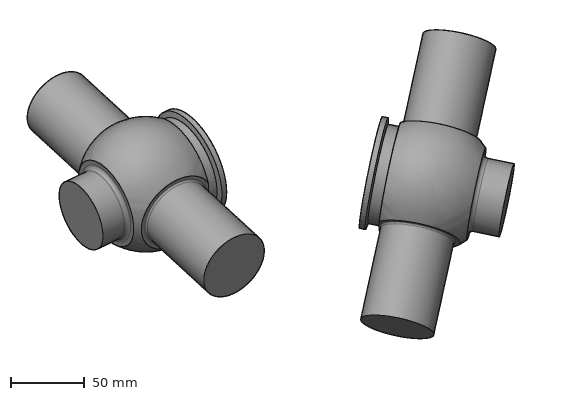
import cadquery as cq
import math

ball_diameter = 92.0
side_flat = 35.5
front_flat = 33.2
back_flat = 26.7

pipe_diameter = 50.7
side_reach = 101.9
side_fillet = 1.2
front_reach = 54.2
front_fillet = 3.0

collar_diameter = 68.9
flange_diameter = 77.5
flange_face = 39.7
flange_rim = 4.0
flange_taper = 1.0


def make_body():
    ball = cq.Workplane("XY").sphere(ball_diameter / 2)
    trim = cq.Workplane("XY").box(
        2 * side_flat, front_flat + back_flat, 2 * ball_diameter
    ).translate((0, (back_flat - front_flat) / 2, 0))
    return ball.intersect(trim)


def make_pipe(flat, reach, fillet):
    """Solid pipe stub along -Y with a concave fillet where it leaves its flat."""
    radius = pipe_diameter / 2
    arc_offset = fillet * (1 - math.sqrt(0.5))
    return (
        cq.Workplane("XY")
        .moveTo(0, 0)
        .lineTo(radius, 0)
        .lineTo(radius, -flat)
        .lineTo(radius + fillet, -flat)
        .threePointArc(
            (radius + arc_offset, -flat - arc_offset),
            (radius, -flat - fillet),
        )
        .lineTo(radius, -reach)
        .lineTo(0, -reach)
        .close()
        .revolve(360, (0, 0, 0), (0, 1, 0))
    )


def make_flange():
    collar_radius = collar_diameter / 2
    flange_radius = flange_diameter / 2
    rim_start = flange_face - flange_rim
    cone_end = rim_start - flange_taper
    return (
        cq.Workplane("XY")
        .moveTo(0, 0)
        .lineTo(collar_radius, 0)
        .lineTo(collar_radius, cone_end)
        .lineTo(flange_radius, rim_start)
        .lineTo(flange_radius, flange_face)
        .lineTo(0, flange_face)
        .close()
        .revolve(360, (0, 0, 0), (0, 1, 0))
    )


result = make_body().union(make_pipe(front_flat, front_reach, front_fillet))

for angle in (90, -90):
    side_pipe = make_pipe(side_flat, side_reach, side_fillet)
    result = result.union(side_pipe.rotate((0, 0, 0), (0, 0, 1), angle))

result = result.union(make_flange())